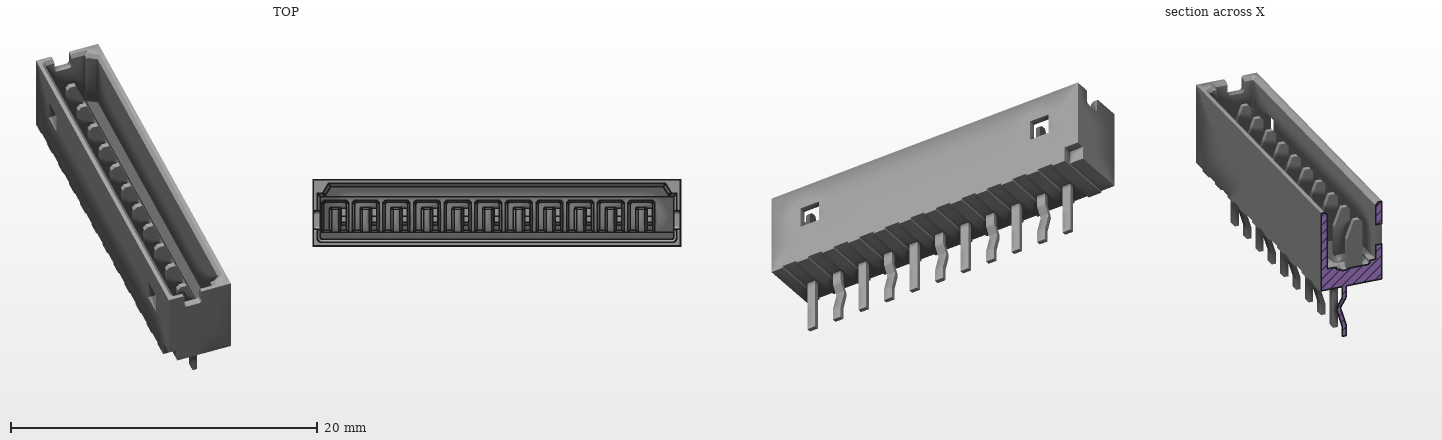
import cadquery as cq
import math


LENGTH = 24.0
WIDTH = 4.35
HEIGHT = 5.85

WALL = 0.47
RIM_CHAMFER = 0.22
CAVITY_HALF_LENGTH = LENGTH / 2 - WALL
CAVITY_FRONT_Y = -WIDTH / 2 + WALL
CAVITY_BACK_Y = -CAVITY_FRONT_Y
CAVITY_SHOULDER_Y = 1.05
CAVITY_SHOULDER_HALF_LENGTH = 11.17
CAVITY_BACK_HALF_LENGTH = 10.87
CAVITY_TAPER_START_Y = 1.22
CAVITY_FRONT_CORNER_RADIUS = 0.10

FLOOR_Z = 1.50
LEDGE_Z = 1.70
STRIP_FRONT_Y = -1.27

PIN_COUNT = 11
PITCH = 2.0
FIRST_PIN_X = -10.57
PIN_XS = [FIRST_PIN_X + PITCH * i for i in range(PIN_COUNT)]
PIN_WIDTH = 0.62
PIN_THICKNESS = 0.32
PIN_Y = 0.53
PIN_LENGTH = 3.50
PIN_EMBED = 0.5

KINK_START_Z = -0.68
KINK_PEAK_Z = -1.35
KINK_END_Z = -2.70
KINK_OFFSET = 0.42
KINK_INNER_RADIUS = 0.25
KINK_OUTER_RADIUS = 0.50

BLADE_OFFSET_X = 0.55
BLADE_THICKNESS = 0.32
BLADE_FRONT_Y = -0.82
BLADE_BACK_Y = 0.29
BLADE_TIP_FRONT_Y = -0.62
BLADE_TIP_BACK_Y = -0.22
BLADE_TOP_Z = 4.78
BLADE_BACK_DROP = 1.30
BLADE_FRONT_DROP = 0.22
BLADE_EMBED = 0.5

GROOVE_DEPTH = 0.15
GROOVE_HALF_WIDTH = 0.88
GROOVE_BACK_Y = 0.83
GROOVE_CORNER = 0.17
ISLAND_HALF_WIDTH = 0.22
ISLAND_BACK_Y = 0.23
DRAFT_ANGLE = 45

NOTCH_WIDTH = 1.20
NOTCH_Y = -0.475
NOTCH_DEPTH = 1.02
NOTCH_BOTTOM_RADIUS = 0.22
NOTCH_TOP_RADIUS = 0.12

WINDOW_SIZE = 1.45
WINDOW_X = 9.0
WINDOW_Z = 3.46
RELIEF_WIDTH = 1.10
RELIEF_HEIGHT = 0.14
CORNER_STEP_LENGTH = 1.02
CORNER_STEP_HEIGHT = 1.07
CORNER_STEP_DEPTH = 0.60


def block(x0, x1, y0, y1, z0, z1):
    """Axis-aligned box between two corners."""
    return cq.Workplane("XY").box(x1 - x0, y1 - y0, z1 - z0, centered=False).translate((x0, y0, z0))


def cavity_outline(grow, z):
    """Outline of the cavity at height `z`, widened by `grow` on every side."""
    half = CAVITY_HALF_LENGTH + grow
    front = CAVITY_FRONT_Y - grow
    back = CAVITY_BACK_Y + grow
    shoulder = CAVITY_SHOULDER_Y + grow
    shoulder_half = CAVITY_SHOULDER_HALF_LENGTH + grow
    slant = math.atan2(
        CAVITY_SHOULDER_HALF_LENGTH - CAVITY_BACK_HALF_LENGTH, CAVITY_BACK_Y - CAVITY_TAPER_START_Y
    )
    back_half = CAVITY_BACK_HALF_LENGTH + grow * math.tan((math.pi / 2 - slant) / 2)
    taper_start = CAVITY_TAPER_START_Y + grow * math.tan(slant / 2)
    radius = CAVITY_FRONT_CORNER_RADIUS + grow
    diagonal = radius * (1 - math.sqrt(0.5))
    return (
        cq.Workplane("XY", origin=(0, 0, z))
        .moveTo(-half + radius, front)
        .lineTo(half - radius, front)
        .threePointArc((half - diagonal, front + diagonal), (half, front + radius))
        .lineTo(half, shoulder)
        .lineTo(shoulder_half, shoulder)
        .lineTo(shoulder_half, taper_start)
        .lineTo(back_half, back)
        .lineTo(-back_half, back)
        .lineTo(-shoulder_half, taper_start)
        .lineTo(-shoulder_half, shoulder)
        .lineTo(-half, shoulder)
        .lineTo(-half, front + radius)
        .threePointArc((-half + diagonal, front + diagonal), (-half + radius, front))
        .close()
    )


def cavity():
    """Space inside the walls, with its flared rim and the sunken middle strip."""
    rim_z = HEIGHT - RIM_CHAMFER
    well = cavity_outline(0, LEDGE_Z).extrude(HEIGHT - LEDGE_Z)
    lower_wire = cavity_outline(0, rim_z).val()
    upper_wire = cavity_outline(RIM_CHAMFER, HEIGHT).val()
    rim = cq.Workplane(cq.Solid.makeLoft([lower_wire, upper_wire], True))
    strip = block(
        -CAVITY_HALF_LENGTH, CAVITY_HALF_LENGTH, STRIP_FRONT_Y, CAVITY_SHOULDER_Y, FLOOR_Z, LEDGE_Z
    )
    return well.union(rim).union(strip)


def floor_groove(x):
    """U-shaped groove with sloping sides that surrounds an island level with the floor."""
    depth = GROOVE_BACK_Y - STRIP_FRONT_Y
    trough = (
        cq.Workplane("XY", origin=(x, (GROOVE_BACK_Y + STRIP_FRONT_Y) / 2, FLOOR_Z))
        .sketch()
        .rect(2 * GROOVE_HALF_WIDTH, depth)
        .vertices(">Y")
        .chamfer(GROOVE_CORNER)
        .finalize()
        .extrude(-GROOVE_DEPTH, taper=DRAFT_ANGLE)
    )
    island_front = STRIP_FRONT_Y - GROOVE_DEPTH
    island = (
        cq.Workplane("XY", origin=(x, (ISLAND_BACK_Y + island_front) / 2, FLOOR_Z))
        .rect(2 * ISLAND_HALF_WIDTH, ISLAND_BACK_Y - island_front)
        .extrude(-GROOVE_DEPTH, taper=-DRAFT_ANGLE)
    )
    return trough.cut(island)


def end_notches():
    """Round-bottomed notch through both end walls, with rounded shoulders at the rim."""
    half = NOTCH_WIDTH / 2
    profile = (
        cq.Workplane("YZ", origin=(-LENGTH / 2, NOTCH_Y, HEIGHT))
        .moveTo(-half - NOTCH_TOP_RADIUS, 0)
        .radiusArc((-half, -NOTCH_TOP_RADIUS), NOTCH_TOP_RADIUS)
        .lineTo(-half, -NOTCH_DEPTH + NOTCH_BOTTOM_RADIUS)
        .radiusArc((-half + NOTCH_BOTTOM_RADIUS, -NOTCH_DEPTH), -NOTCH_BOTTOM_RADIUS)
        .lineTo(half - NOTCH_BOTTOM_RADIUS, -NOTCH_DEPTH)
        .radiusArc((half, -NOTCH_DEPTH + NOTCH_BOTTOM_RADIUS), -NOTCH_BOTTOM_RADIUS)
        .lineTo(half, -NOTCH_TOP_RADIUS)
        .radiusArc((half + NOTCH_TOP_RADIUS, 0), NOTCH_TOP_RADIUS)
        .close()
    )
    return profile.extrude(LENGTH)


def front_window(x):
    """Square opening through the front wall."""
    half = WINDOW_SIZE / 2
    return block(x - half, x + half, -WIDTH / 2, CAVITY_FRONT_Y, WINDOW_Z - half, WINDOW_Z + half)


def underside_relief(x):
    """Shallow channel across the underside at a pin."""
    half = RELIEF_WIDTH / 2
    return block(x - half, x + half, -WIDTH / 2, WIDTH / 2, 0, RELIEF_HEIGHT)


def corner_step():
    """Step in the lower front corner, with the underside raised behind it."""
    x0 = LENGTH / 2 - CORNER_STEP_LENGTH
    x1 = LENGTH / 2
    front = -WIDTH / 2
    step = block(x0, x1, front, front + CORNER_STEP_DEPTH, 0, CORNER_STEP_HEIGHT)
    return step.union(block(x0, x1, front, WIDTH / 2, 0, RELIEF_HEIGHT))


def housing():
    body = block(-LENGTH / 2, LENGTH / 2, -WIDTH / 2, WIDTH / 2, 0, HEIGHT)
    body = body.cut(cavity()).cut(end_notches()).cut(corner_step())
    for x in (-WINDOW_X, WINDOW_X):
        body = body.cut(front_window(x))
    for x in PIN_XS:
        body = body.cut(floor_groove(x)).cut(underside_relief(x))
    return body


def pin(x, kinked):
    """Solder pin below the housing, bowed toward +Y when kinked."""
    front = PIN_Y - PIN_THICKNESS / 2
    back = PIN_Y + PIN_THICKNESS / 2
    top = RELIEF_HEIGHT + PIN_EMBED
    if not kinked:
        return block(x - PIN_WIDTH / 2, x + PIN_WIDTH / 2, front, back, -PIN_LENGTH, top)
    profile = [
        (front, top),
        (front, KINK_START_Z),
        (front + KINK_OFFSET, KINK_PEAK_Z),
        (front, KINK_END_Z),
        (front, -PIN_LENGTH),
        (back, -PIN_LENGTH),
        (back, KINK_END_Z),
        (back + KINK_OFFSET, KINK_PEAK_Z),
        (back, KINK_START_Z),
        (back, top),
    ]
    bar = cq.Workplane("YZ", origin=(x - PIN_WIDTH / 2, 0, 0)).polyline(profile).close().extrude(PIN_WIDTH)
    zone_margin = PIN_THICKNESS / 4

    def bend_edges(y, z):
        return cq.selectors.BoxSelector(
            (x - PIN_WIDTH, y - zone_margin, z - zone_margin),
            (x + PIN_WIDTH, y + zone_margin, z + zone_margin),
        )

    for z, y_shift, front_radius, back_radius in (
        (KINK_START_Z, 0, KINK_OUTER_RADIUS, KINK_INNER_RADIUS),
        (KINK_PEAK_Z, KINK_OFFSET, KINK_INNER_RADIUS, KINK_OUTER_RADIUS),
        (KINK_END_Z, 0, KINK_OUTER_RADIUS, KINK_INNER_RADIUS),
    ):
        bar = bar.edges("|X").edges(bend_edges(front + y_shift, z)).fillet(front_radius)
        bar = bar.edges("|X").edges(bend_edges(back + y_shift, z)).fillet(back_radius)
    return bar


def blade(x):
    """Upright contact blade beside the pin's axis, sloped to a flat tip."""
    profile = [
        (BLADE_FRONT_Y, FLOOR_Z - BLADE_EMBED),
        (BLADE_FRONT_Y, BLADE_TOP_Z - BLADE_FRONT_DROP),
        (BLADE_TIP_FRONT_Y, BLADE_TOP_Z),
        (BLADE_TIP_BACK_Y, BLADE_TOP_Z),
        (BLADE_BACK_Y, BLADE_TOP_Z - BLADE_BACK_DROP),
        (BLADE_BACK_Y, FLOOR_Z - BLADE_EMBED),
    ]
    left = x + BLADE_OFFSET_X - BLADE_THICKNESS / 2
    return cq.Workplane("YZ", origin=(left, 0, 0)).polyline(profile).close().extrude(BLADE_THICKNESS)


result = housing()
for index, pin_x in enumerate(PIN_XS):
    result = result.union(pin(pin_x, kinked=index % 2 == 1)).union(blade(pin_x))